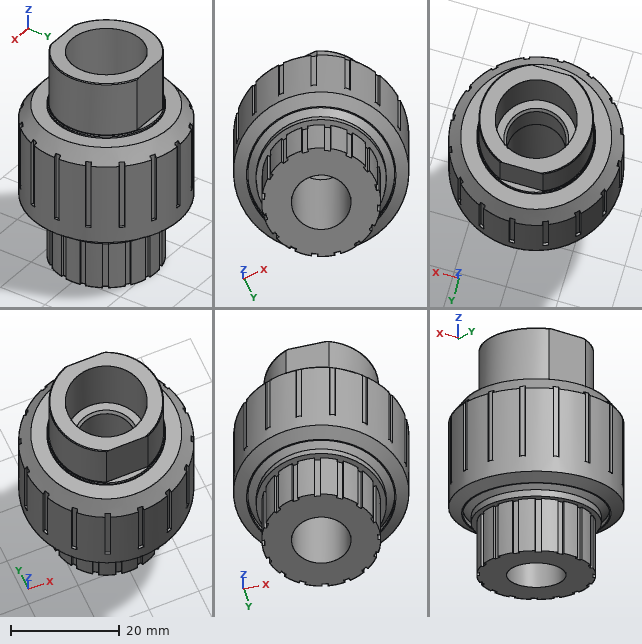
import cadquery as cq

total_height = 45.5
spigot_top = 10.6
collar_top = 11.9
nut_bottom = 12.55
nut_body_bottom = 13.8
nut_body_top = 30.7
nut_top = 33.6
shoulder_top = 34.1
parting_height = 22.75

nut_diameter = 32.5
nut_top_diameter = 27.95
nut_bottom_diameter = 27.65
nut_bore = 27.2
grip_count = 16
grip_width = 1.05
grip_depth = 0.5
grip_bottom = 17.0

neck_diameter = 22.0
socket_outer_diameter = 21.25
across_flats = 19.55
rim_chamfer = 0.2
shoulder_chamfer = 0.2
socket_diameter = 15.15
socket_depth = 13.65
throat_diameter = 12.0

passage_diameter = 11.0
collar_diameter = 24.1
spigot_diameter = 22.0
spline_count = 16
spline_width = 1.15
spline_depth = 0.5


def cylinder(diameter, bottom, top):
    """Upright cylinder on the common axis."""
    return cq.Workplane("XY").workplane(offset=bottom).circle(diameter / 2).extrude(top - bottom)


def cone(bottom_diameter, top_diameter, bottom, top):
    """Upright truncated cone on the common axis."""
    return cq.Workplane(
        cq.Solid.makeCone(bottom_diameter / 2, top_diameter / 2, top - bottom, cq.Vector(0, 0, bottom))
    )


def cut_ring_of_grooves(body, diameter, count, width, depth, bottom, top, first_angle):
    """Cut equally spaced flat-floored axial grooves into a cylindrical surface."""
    cutter_reach = 2 * depth
    for index in range(count):
        groove = (
            cq.Workplane("XY")
            .box(cutter_reach, width, top - bottom, centered=(False, True, False))
            .translate((diameter / 2 - depth, 0, bottom))
            .rotate((0, 0, 0), (0, 0, 1), first_angle + index * 360 / count)
        )
        body = body.cut(groove)
    return body


def make_nut():
    nut = cone(nut_bottom_diameter, nut_diameter, nut_bottom, nut_body_bottom)
    nut = nut.union(cylinder(nut_diameter, nut_body_bottom, nut_body_top))
    nut = nut.union(cone(nut_diameter, nut_top_diameter, nut_body_top, nut_top))

    nut = nut.cut(cylinder(nut_bore, nut_bottom, nut_body_top))
    nut = nut.cut(cylinder(neck_diameter, nut_body_top, nut_top))
    return cut_ring_of_grooves(
        nut, nut_diameter, grip_count, grip_width, grip_depth, grip_bottom, nut_top, 0
    )


def make_upper_end():
    socket = cylinder(socket_outer_diameter, shoulder_top, total_height).faces(">Z").chamfer(rim_chamfer)
    flats = cq.Workplane("XY").box(nut_diameter, across_flats, 2 * total_height)
    socket = socket.intersect(flats)

    neck = cylinder(neck_diameter, nut_body_top, shoulder_top).faces(">Z").chamfer(shoulder_chamfer)
    flange = cylinder(nut_bore, parting_height, nut_body_top)
    upper_end = flange.union(neck).union(socket)

    socket_floor = total_height - socket_depth
    funnel_bottom = socket_floor - (throat_diameter - passage_diameter) / 2
    upper_end = upper_end.cut(cylinder(socket_diameter, socket_floor, total_height))
    upper_end = upper_end.cut(cone(passage_diameter, throat_diameter, funnel_bottom, socket_floor))
    return upper_end.cut(cylinder(passage_diameter, parting_height, funnel_bottom))


def make_lower_end():
    spigot = cut_ring_of_grooves(
        cylinder(spigot_diameter, 0, spigot_top),
        spigot_diameter, spline_count, spline_width, spline_depth, 0, spigot_top, 180 / spline_count,
    )
    collar = cylinder(collar_diameter, spigot_top, collar_top)

    lead_top = collar_top + (nut_bore - collar_diameter) / 2
    lead = cone(collar_diameter, nut_bore, collar_top, lead_top)
    male_end = cylinder(nut_bore, lead_top, parting_height)

    lower_end = spigot.union(collar).union(lead).union(male_end)
    return lower_end.cut(cylinder(passage_diameter, 0, parting_height))


nut = make_nut()
upper_end = make_upper_end()
lower_end = make_lower_end()

result = cq.Compound.makeCompound([nut.val(), upper_end.val(), lower_end.val()])